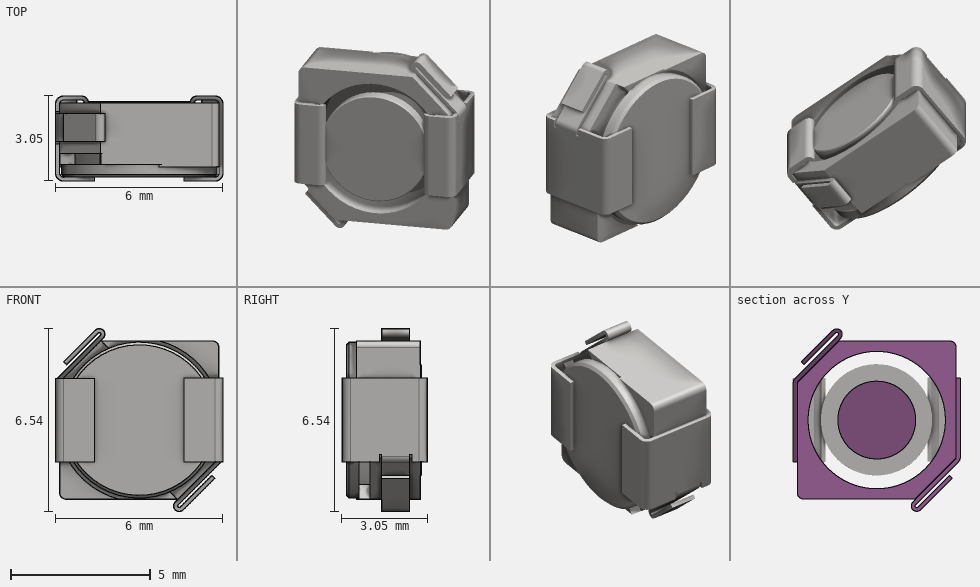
import cadquery as cq
import math

TOTAL_X = 6.0
TOTAL_Y = 3.05
TOTAL_Z = 6.54

SHEET = 0.15
BEND_OUTER = 2 * SHEET
BEND_INNER = SHEET
CLIP_TOP = 1.49
CLIP_BOTTOM = -1.505
FRONT_LEG_LENGTH = 1.405
BACK_LEG_LENGTH = 1.185

TAB_WIDTH = 1.0
TAB_CENTER_Y = 0.39
FOLD_INNER = 0.05
FOLD_OUTER = FOLD_INNER + SHEET
TAB_END = -0.44
RELIEF_WIDTH = 0.08
RELIEF_DEPTH = 0.27

HALF_WIDTH = TOTAL_X / 2 - SHEET
HALF_HEIGHT = 2.83
HOUSING_BACK = 1.275
SEAT_FACE = -0.92
CORNER_PAD_FACE = -1.015
CORNER_RADIUS = 0.24
CORNER_PAD_BORE = 2.92
CORNER_CUT = 1.47
WINDING_BORE = 2.445
WIRE_POCKET_FLOOR = -0.53
SPACER_INNER_X = 2.23

CORE_FRONT = SHEET - TOTAL_Y / 2
CORE_BACK = 1.32
FLANGE_RADIUS = 2.785
FLANGE_CHAMFER = 0.1
NECK_RADIUS = 1.4
BACK_FLANGE_RADIUS = 1.99
BACK_FLANGE_CHAMFER = 0.04

BACK = TOTAL_Y / 2
SIDE = TOTAL_X / 2
SQRT_HALF = math.sqrt(0.5)
CORNER_PLANE = (HALF_WIDTH + HALF_HEIGHT - CORNER_CUT) * SQRT_HALF


def front_plane(y):
    """Sketch plane at the given Y, with local x = X, local y = Z, extruding toward -Y."""
    return cq.Workplane("XZ", origin=(0, y, 0))


def half_turn(shape):
    return shape.rotate((0, 0, 0), (0, 1, 0), 180)


def slanted(along, outward):
    """(X, Z) of a point given along and square to the slanted upper left corner."""
    return ((along - outward) * SQRT_HALF, (along + outward) * SQRT_HALF)


def disc(radius, front, back):
    return front_plane(back).circle(radius).extrude(back - front)


def clip_band():
    """Bent strip that wraps the left side from the front leg to the curled back leg."""
    front_tip = -SIDE + FRONT_LEG_LENGTH
    back_tip = -SIDE + BACK_LEG_LENGTH
    curl_inner = BACK - SHEET - HOUSING_BACK
    curl_outer = curl_inner + SHEET
    curl_x = back_tip - curl_outer
    bend_x = -SIDE + BEND_OUTER
    bend_y = BACK - BEND_OUTER
    outer = BEND_OUTER * SQRT_HALF
    inner = BEND_INNER * SQRT_HALF
    return (
        cq.Workplane("XY", origin=(0, 0, CLIP_BOTTOM))
        .moveTo(front_tip, -BACK)
        .lineTo(bend_x, -BACK)
        .threePointArc((bend_x - outer, -bend_y - outer), (-SIDE, -bend_y))
        .lineTo(-SIDE, bend_y)
        .threePointArc((bend_x - outer, bend_y + outer), (bend_x, BACK))
        .lineTo(curl_x, BACK)
        .threePointArc(
            (curl_x + curl_outer * SQRT_HALF, HOUSING_BACK + curl_outer * SQRT_HALF),
            (back_tip, HOUSING_BACK),
        )
        .lineTo(curl_x + curl_inner, HOUSING_BACK)
        .threePointArc(
            (curl_x + curl_inner * SQRT_HALF, HOUSING_BACK + curl_inner * SQRT_HALF),
            (curl_x, BACK - SHEET),
        )
        .lineTo(bend_x, BACK - SHEET)
        .threePointArc((bend_x - inner, bend_y + inner), (-HALF_WIDTH, bend_y))
        .lineTo(-HALF_WIDTH, -bend_y)
        .threePointArc((bend_x - inner, -bend_y - inner), (bend_x, SHEET - BACK))
        .lineTo(front_tip, SHEET - BACK)
        .close()
        .extrude(CLIP_TOP - CLIP_BOTTOM)
    )


def tab_opening():
    """Clearance at the top of the band for the tab and its two relief slits."""
    width = TAB_WIDTH + 2 * RELIEF_WIDTH
    return (
        cq.Workplane("XY", origin=(-SIDE, TAB_CENTER_Y, CLIP_TOP - RELIEF_DEPTH))
        .rect(2 * BEND_OUTER, width)
        .extrude(2 * RELIEF_DEPTH)
    )


def tab():
    """Lead tab: leaves the band, follows the slanted corner and folds back on itself."""
    root = CLIP_TOP - RELIEF_DEPTH
    arm_outer = CORNER_PLANE + SHEET
    fold_center = arm_outer + FOLD_INNER
    return_inner = fold_center + FOLD_INNER
    return_outer = fold_center + FOLD_OUTER
    fold_along = (TOTAL_Z / 2 - FOLD_OUTER) / SQRT_HALF - fold_center

    knee_z = arm_outer / SQRT_HALF - SIDE
    half_bend = math.radians(45 / 2)
    tangent = BEND_OUTER * math.tan(half_bend)
    bend_start = (-SIDE, knee_z - tangent)
    bend_end = (-SIDE + tangent * SQRT_HALF, knee_z + tangent * SQRT_HALF)
    bend_mid = (
        -SIDE + BEND_OUTER * (1 - math.cos(half_bend)),
        knee_z - tangent + BEND_OUTER * math.sin(half_bend),
    )
    return (
        front_plane(TAB_CENTER_Y + TAB_WIDTH / 2)
        .moveTo(-HALF_WIDTH, root)
        .lineTo(-SIDE, root)
        .lineTo(*bend_start)
        .threePointArc(bend_mid, bend_end)
        .lineTo(*slanted(fold_along, arm_outer))
        .threePointArc(slanted(fold_along + FOLD_INNER, fold_center), slanted(fold_along, return_inner))
        .lineTo(*slanted(TAB_END, return_inner))
        .lineTo(*slanted(TAB_END, return_outer))
        .lineTo(*slanted(fold_along, return_outer))
        .threePointArc(slanted(fold_along + FOLD_OUTER, fold_center), slanted(fold_along, CORNER_PLANE))
        .lineTo(-HALF_WIDTH, HALF_HEIGHT - CORNER_CUT)
        .close()
        .extrude(TAB_WIDTH)
    )


def make_clip(turn):
    """One clip, turned about the Y axis from its place on the left side."""
    clip = clip_band().cut(tab_opening()).union(tab())
    return clip.rotate((0, 0, 0), (0, 1, 0), turn)


def housing_block():
    """Square block with two rounded corners and two slanted corners."""
    depth = HOUSING_BACK - CORNER_PAD_FACE
    block = cq.Workplane("XY").box(2 * HALF_WIDTH, depth, 2 * HALF_HEIGHT)
    block = block.translate((0, HOUSING_BACK - depth / 2, 0))
    block = block.edges("|Y").edges(">(1,0,1) or <(1,0,1)").fillet(CORNER_RADIUS)
    corner = (
        front_plane(HOUSING_BACK)
        .polyline([
            (-HALF_WIDTH, HALF_HEIGHT),
            (-HALF_WIDTH, HALF_HEIGHT - CORNER_CUT),
            (-HALF_WIDTH + CORNER_CUT, HALF_HEIGHT),
        ])
        .close()
        .extrude(depth)
    )
    return block.cut(corner).cut(half_turn(corner))


def flange_recess():
    """Lowers the front face except for the pads at the two rounded corners."""
    recess = disc(CORNER_PAD_BORE, CORNER_PAD_FACE, SEAT_FACE)
    slanted_corner = front_plane(SEAT_FACE).rect(HALF_WIDTH, HALF_HEIGHT).extrude(SEAT_FACE - CORNER_PAD_FACE)
    slanted_corner = slanted_corner.translate((-HALF_WIDTH / 2, 0, HALF_HEIGHT / 2))
    return recess.union(slanted_corner).union(half_turn(slanted_corner))


def wire_pocket():
    """Channel that leads a winding end from the bore out through a slanted corner."""
    half_span = CORNER_CUT * SQRT_HALF
    return (
        front_plane(WIRE_POCKET_FLOOR)
        .polyline([
            slanted(-half_span, 0),
            slanted(half_span, 0),
            slanted(half_span, 2 * CORNER_PLANE),
            slanted(-half_span, 2 * CORNER_PLANE),
        ])
        .close()
        .extrude(WIRE_POCKET_FLOOR - CORNER_PAD_FACE)
    )


def back_spacer():
    """Raised strip on the back that fills part of the space under a clip's back leg."""
    width = HALF_WIDTH - SPACER_INNER_X
    height = BACK - SHEET - HOUSING_BACK
    spacer = cq.Workplane("XY").box(width, height, CLIP_TOP - CLIP_BOTTOM, centered=False)
    return spacer.translate((-HALF_WIDTH, HOUSING_BACK, CLIP_BOTTOM))


def make_housing(clips):
    body = housing_block().cut(flange_recess())
    body = body.cut(disc(WINDING_BORE, CORNER_PAD_FACE, HOUSING_BACK))
    body = body.cut(wire_pocket()).cut(half_turn(wire_pocket()))
    body = body.union(back_spacer()).union(half_turn(back_spacer()))
    for clip in clips:
        body = body.cut(clip)
    return body


def make_core(clips):
    flange_thickness = SEAT_FACE - CORE_FRONT
    body = disc(FLANGE_RADIUS, CORE_FRONT, SEAT_FACE).faces("<Y").chamfer(FLANGE_CHAMFER)
    back_flange = disc(BACK_FLANGE_RADIUS, CORE_BACK - flange_thickness, CORE_BACK)
    back_flange = back_flange.faces(">Y").chamfer(BACK_FLANGE_CHAMFER)
    body = body.union(disc(NECK_RADIUS, SEAT_FACE, CORE_BACK - flange_thickness)).union(back_flange)
    for clip in clips:
        body = body.cut(clip)
    return body


clips = [make_clip(turn) for turn in (0, 180)]
housing = make_housing(clips)
core = make_core(clips)
bodies = [housing, core, *clips]

result = cq.Compound.makeCompound([body.solids().val() for body in bodies])